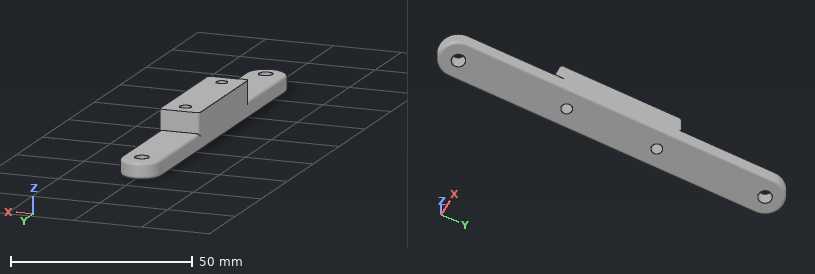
import cadquery as cq

bar_length = 107.3
bar_width = 12.0
bar_height = 5.0
edge_round = 1.0
end_hole_diameter = 4.0

block_length = 38.0
total_height = 11.0
block_hole_diameter = 3.2
block_hole_spacing = 28.0

end_hole_spacing = bar_length - bar_width


def make_bar():
    """Round-ended bar with its top and bottom rims rounded."""
    bar = cq.Workplane("XY").slot2D(bar_length, bar_width, 90).extrude(bar_height)
    return bar.faces("<Z or >Z").edges().fillet(edge_round)


def make_block():
    """Block standing on the bottom plane, with rounded upright corners and bottom side edges."""
    block = cq.Workplane("XY").box(bar_width, block_length, total_height, centered=(True, True, False))
    block = block.edges("|Z").fillet(edge_round)
    return block.intersect(make_lower_envelope())


def make_lower_envelope():
    """Full-height bar shape, rounded only along its bottom rim."""
    envelope = cq.Workplane("XY").slot2D(bar_length, bar_width, 90).extrude(total_height)
    return envelope.faces("<Z").edges().fillet(edge_round)


def make_hole_pair(diameter, spacing):
    """Two vertical through-hole cutters spread evenly along Y."""
    centres = [(0, -spacing / 2), (0, spacing / 2)]
    return cq.Workplane("XY").pushPoints(centres).circle(diameter / 2).extrude(total_height)


result = (
    make_bar()
    .union(make_block())
    .cut(make_hole_pair(end_hole_diameter, end_hole_spacing))
    .cut(make_hole_pair(block_hole_diameter, block_hole_spacing))
)